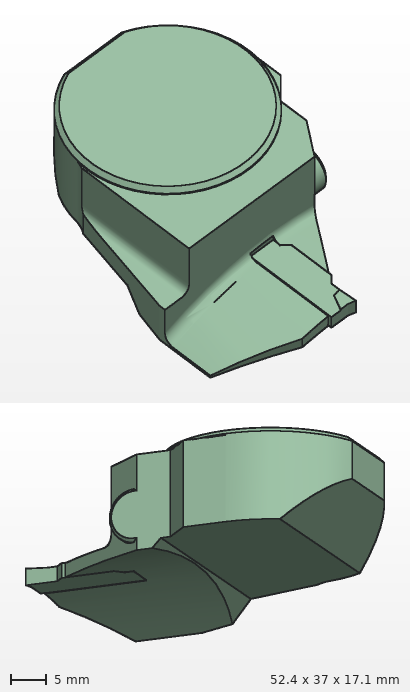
import cadquery as cq
import math


disc_radius = 15.95
disc_height = 13.65
disc_flat_x = -14.9
rim_chamfer = 0.75
underside_bevel = 7.4

arm_top = 12.7
arm_end_x = 20.75
arm_back_y = 12.5
arm_front_y = -16.3
lug_x = 6.45
back_slope_start_x = 15.1
back_slope = 0.71
lug_end_x = lug_x + disc_radius - arm_back_y
shelf_z = 3.6
root_radius = 1.55
heel_x = 11.35

neck_start_x = -2.15
neck_start_y = -15.8
neck_middle_x = -0.75
neck_end_x = 0.05
neck_end_y = -16.75

blade_front_y = -21.05
blade_end_x = 36.45
blade_top_peak = 1.9
blade_top_radius = 47.65
blade_bottom_peak = -0.2
blade_bottom_radius = 69.6
front_start_x = 19.7
front_end_x = 29.8
end_corner_y = -9.5

boss_radius = 3.95
boss_x = 15.5
boss_z = 3.95
boss_chamfer = 0.45

insert_start_x = 20.9
insert_shoulder_x = 22.25
insert_end_x = 37.05
insert_front_y = -4.35
insert_back_y = 0.15
insert_hump_y = 1.3
insert_hump_x = 31.4
insert_bottom = -0.25
insert_top = 1.95
insert_tip_x = disc_flat_x + 52.35
nose_start_x = 34.15
nose_inner_x = 34.4
nose_inner_y = -1.2
nose_front_y = -2.5
nose_corner_y = -1.05
nose_top = 2.2

blank_depth = 5.25
reach = 52.35


def make_disc():
    """Chamfered disc with one flat and a 45 degree bevel under the flat."""
    disc = cq.Workplane("XY").circle(disc_radius).extrude(disc_height)
    keep = cq.Workplane("XY").box(reach, reach, reach).translate((disc_flat_x + reach / 2, 0, 0))
    disc = disc.intersect(keep).faces(">Z").chamfer(rim_chamfer)
    bevel = (
        cq.Workplane("XZ")
        .moveTo(disc_flat_x, 0)
        .lineTo(disc_flat_x + underside_bevel, 0)
        .lineTo(disc_flat_x, underside_bevel)
        .close()
        .extrude(reach / 2, both=True)
    )
    return disc.cut(bevel)


def make_arm_blank():
    """Prism with the plan outline of the arm and blade; the heel is undercut at 45 degrees."""
    slope_end_y = arm_back_y - back_slope * (blade_end_x - back_slope_start_x)
    outline = [
        (0, disc_radius),
        (lug_x, disc_radius),
        (lug_end_x, arm_back_y),
        (back_slope_start_x, arm_back_y),
        (blade_end_x, slope_end_y),
        (blade_end_x, end_corner_y),
        (front_end_x, blade_front_y),
        (front_start_x, blade_front_y),
        (neck_end_x, neck_end_y),
    ]
    blank = (
        cq.Workplane("XY")
        .workplane(offset=-blank_depth)
        .polyline(outline)
        .threePointArc((neck_middle_x, arm_front_y), (neck_start_x, neck_start_y))
        .close()
    )
    blank = blank.extrude(blank_depth + arm_top)
    undercut = (
        cq.Workplane("XZ")
        .polyline([(-reach, 0), (heel_x, 0), (heel_x + reach, -reach), (-reach, -reach)])
        .close()
        .extrude(reach, both=True)
    )
    return blank.cut(undercut)


def arched_tool(start_x, peak, radius, far_z):
    """Block from start_x onward, bounded by an arched surface and the level far_z."""
    half_width = reach / 2
    edge_z = peak - radius + math.sqrt(radius**2 - half_width**2)
    return (
        cq.Workplane("YZ", origin=(start_x, 0, 0))
        .moveTo(-half_width, edge_z)
        .threePointArc((0, peak), (half_width, edge_z))
        .lineTo(half_width, far_z)
        .lineTo(-half_width, far_z)
        .close()
        .extrude(reach)
    )


def blade_top_tool():
    """Space above the blade, with a rounded root against the arm's end wall."""
    tool = arched_tool(arm_end_x, blade_top_peak, blade_top_radius, reach / 2)
    root = cq.selectors.NearestToPointSelector((arm_end_x, 0, blade_top_peak))
    return tool.edges(root).fillet(root_radius)


def shelf_tool():
    """Space above the front shelf, with a rounded root against the arm's front wall."""
    tool = (
        cq.Workplane("XY")
        .box(2 * reach, reach, reach)
        .translate((0, arm_front_y - reach / 2, shelf_z + reach / 2))
    )
    return tool.edges(">Y and <Z").fillet(root_radius)


def make_boss():
    """Boss running from inside the arm to its back face, chamfered at the end."""
    boss = (
        cq.Workplane("XZ", origin=(boss_x, arm_back_y, boss_z))
        .circle(boss_radius)
        .extrude(arm_back_y)
    )
    return boss.faces(">Y").chamfer(boss_chamfer)


def insert_prism(bottom, top):
    """Plan outline of the insert, extruded between two levels."""
    hump_rise = insert_hump_y - insert_back_y
    outline = [
        (insert_start_x, insert_front_y),
        (insert_start_x, insert_back_y),
        (insert_shoulder_x, insert_back_y),
        (insert_shoulder_x + hump_rise, insert_hump_y),
        (insert_hump_x, insert_hump_y),
        (insert_hump_x + hump_rise, insert_back_y),
        (insert_tip_x, insert_back_y),
        (insert_end_x, nose_corner_y),
        (insert_end_x, insert_front_y),
    ]
    return cq.Workplane("XY").workplane(offset=bottom).polyline(outline).close().extrude(top - bottom)


def make_insert():
    """Insert with a raised cutting nose at its tip."""
    nose_outline = [
        (nose_start_x, insert_back_y),
        (insert_tip_x, insert_back_y),
        (insert_end_x, nose_corner_y),
        (insert_end_x, nose_front_y),
        (nose_inner_x, nose_inner_y),
    ]
    nose = cq.Workplane("XY").workplane(offset=insert_top).polyline(nose_outline).close()
    nose = nose.extrude(nose_top - insert_top)
    ramp = (
        cq.Workplane("XZ")
        .polyline([(nose_start_x, insert_top), (insert_tip_x, insert_top), (insert_tip_x, nose_top)])
        .close()
        .extrude(reach / 2, both=True)
    )
    return insert_prism(insert_bottom, insert_top).union(nose.intersect(ramp))


def make_holder():
    """Disc, arm and blade in one body, with a through slot for the insert."""
    arm = make_arm_blank()
    arm = arm.cut(arched_tool(0, blade_bottom_peak, blade_bottom_radius, -reach))
    arm = arm.cut(blade_top_tool()).cut(shelf_tool())
    holder = arm.union(make_disc()).union(make_boss())
    return holder.cut(insert_prism(-reach, reach))


holder = make_holder()
insert = make_insert()
result = cq.Compound.makeCompound([holder.val(), insert.val()])